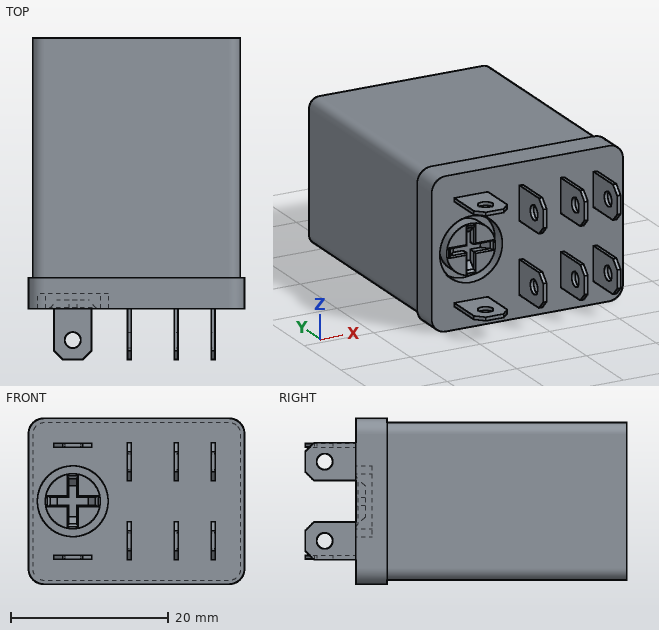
import cadquery as cq


base_width = 27.5
base_height = 21.1
base_depth = 3.95
base_corner_radius = 2.0
case_inset = 0.55
case_width = base_width - 2 * case_inset
case_height = base_height - 2 * case_inset
case_corner_radius = base_corner_radius - case_inset

overall_length = 40.9
blade_length = 6.45
blade_width = 4.83
blade_thickness = 0.5
blade_chamfer = 1.15
blade_hole_diameter = 2.0
blade_hole_distance = 3.95
case_depth = overall_length - blade_length - base_depth

flat_column_x = -8.1
upright_blade_xs = (-0.9, 5.05, 9.75)
upright_blade_z = 5.05
flat_blade_z = 7.1

groove_outer_diameter = 9.0
screw_head_diameter = 7.0
groove_depth = 2.0
recess_length = 6.42
recess_slot_width = 1.4
recess_chamfer = 0.2
recess_end_run = 0.35
recess_depth = 1.2
recess_floor_length = 3.93


def rounded_block(width, height, corner_radius, y_start, depth):
    """Block running toward +Y with its four lengthwise edges rounded."""
    block = cq.Workplane("XY").box(width, depth, height, centered=(True, False, True))
    return block.edges("|Y").fillet(corner_radius).translate((0, y_start, 0))


def flat_blade():
    """Blade lying in the XY plane, pointing toward -Y from the base face."""
    blade = (
        cq.Workplane("XY")
        .box(blade_width, blade_length, blade_thickness)
        .translate((0, -blade_length / 2, 0))
    )
    blade = blade.edges("|Z and <Y").chamfer(blade_chamfer)
    hole = (
        cq.Workplane("XY")
        .center(0, -blade_hole_distance)
        .circle(blade_hole_diameter / 2)
        .extrude(blade_thickness, both=True)
    )
    return blade.cut(hole)


def ring_groove():
    """Ring groove around the screw head, centred on the Y axis."""
    return (
        cq.Workplane("XZ")
        .circle(groove_outer_diameter / 2)
        .circle(screw_head_diameter / 2)
        .extrude(-groove_depth)
    )


def recess_slot():
    """One slot of the cross recess along X: chamfered rim, ends sloping to a shorter floor."""
    slot_half_width = recess_slot_width / 2 - recess_chamfer
    shoulder_half_length = recess_length / 2 - recess_end_run
    floor_half_length = recess_floor_length / 2
    slot = (
        cq.Workplane("XY")
        .moveTo(-shoulder_half_length, recess_chamfer)
        .lineTo(-floor_half_length, recess_depth)
        .lineTo(floor_half_length, recess_depth)
        .lineTo(shoulder_half_length, recess_chamfer)
        .close()
        .extrude(slot_half_width, both=True)
    )
    rim = (
        cq.Workplane("XZ")
        .rect(recess_length, recess_slot_width)
        .workplane(offset=-recess_chamfer)
        .rect(2 * shoulder_half_length, 2 * slot_half_width)
        .loft(ruled=True)
    )
    return slot.union(rim)


base = rounded_block(base_width, base_height, base_corner_radius, 0, base_depth)
case = rounded_block(case_width, case_height, case_corner_radius, base_depth, case_depth)
result = base.union(case)

cross_recess = recess_slot().union(recess_slot().rotate((0, 0, 0), (0, 1, 0), 90))
for cutter in (ring_groove(), cross_recess):
    result = result.cut(cutter.translate((flat_column_x, 0, 0)))

upright_blade = flat_blade().rotate((0, 0, 0), (0, 1, 0), 90)
for side in (1, -1):
    result = result.union(flat_blade().translate((flat_column_x, 0, side * flat_blade_z)))
    for blade_x in upright_blade_xs:
        result = result.union(upright_blade.translate((blade_x, 0, side * upright_blade_z)))